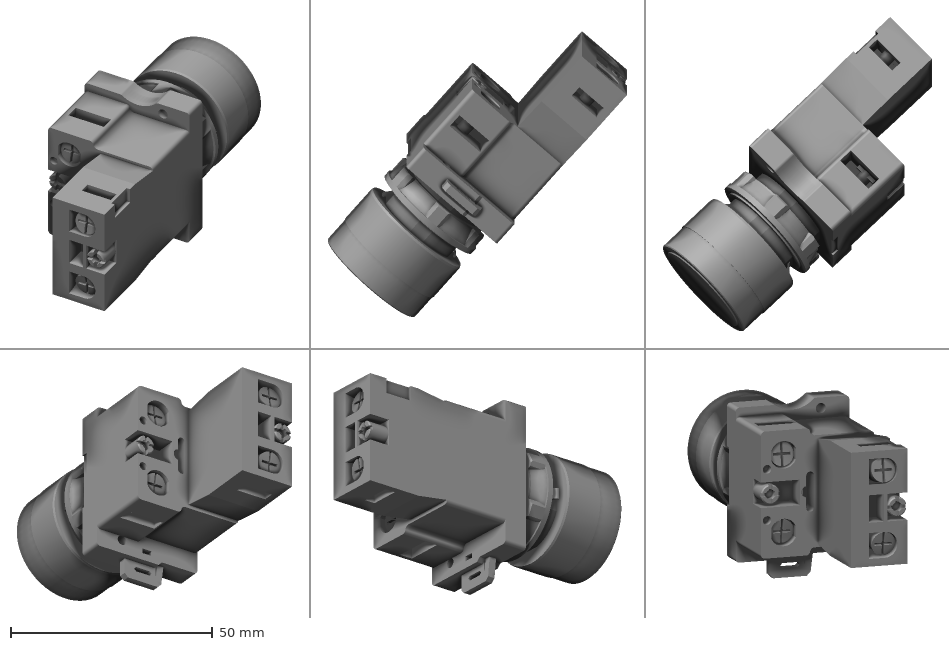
import cadquery as cq
import math


plate_half_width = 15.0
plate_thickness = 6.5
plate_top_left = 18.5
plate_top_right = 19.5
plate_bottom_left = -20.9
plate_bottom_right = -19.9
plate_corner_radius = 1.0
plate_step_x = (3.4, 4.4)
saddle_radius = 7.7
saddle_bottom = 17.0
saddle_blend = 0.9
saddle_margin = 0.1
plate_hole_diameter = 2.6
plate_holes = [(7.45, 16.8), (-7.5, -17.25)]
plate_window = (2.8, 1.3)
plate_window_z = -18.35
side_notch_depth = 0.5
side_notch_length = 1.75
side_notch_height = 14.9

tab_front_y = -2.6
tab_thickness = 2.0
tab_half_width = 5.45
tab_bottom = -26.0
tab_chamfer = 1.0
tab_top_right_x = 6.1
tab_top = -19.0
tab_slot = (5.05, 1.2)
tab_slot_corner = 0.5
tab_slot_z = -22.9
slit_left_x = 3.7
slit_right_x = 4.4
slit_bottom = -23.0

neck_radius = 11.0
neck_flat_x = 10.25
neck_flat_z = 10.8
head_start_y = 13.2
head_lip = 0.6
head_lip_radius = 14.5
head_radius = 14.7
head_joint_y = 23.5
cap_radius = 14.5
cap_end_y = 30.4
cap_chamfer = 0.25
button_radius = 12.5
button_end_y = 30.7
button_chamfer = 0.2
clip_width = 2.9
clip_embed = 0.5
clip_root_y = (10.2, 11.0)
clip_bend = (10.6, 10.7)
clip_tip = [(11.95, 12.1), (12.0, 12.6), (11.6, 12.75)]

nut_start_y = 2.85
nut_end_y = 8.85
nut_rim_y = 3.3
nut_flange_y = 7.4
nut_flange_radius = 14.5
nut_floor_radius_flange = 13.9
nut_floor_radius_start = 12.6
nut_rib_count = 6
rib_top_half_width = 1.55
rib_root_half_width = 2.5
rib_outer_radius = nut_flange_radius
rib_shoulder_radius = 13.4
rib_root_radius = 10.5
rib_chamfer = 0.4
washer_radius = 12.65
washer_thickness = 0.5

base_front_y = -24.8
base_half_height = 16.15
base_right_half_height = 14.25
base_shoulder_x = (-3.0, -2.0, -0.8)
base_corner_radius = 1.1

block_left_x = 0.1
block_front_y = -48.9
block_ramp_end_y = -33.7
block_rear_half_height = 13.3
block_half_height = 14.65
block_notch = (1.0, -43.8, -36.2)
block_notch_depth = 4.0

screw_tilt = math.radians(10)
screw_head_diameter = 6.2
screw_head_length = 4.5
shank_diameter = 3.5
shank_length = 7.0
screw_slot_width = 0.7
screw_slot_length = 4.7
screw_slot_depth = 1.2
base_screw_x = -8.95
base_screw_z = 9.87
base_screw_recess = 1.4
base_pocket_diameter = 7.0
base_pocket_width = 6.4
base_pocket_depth = 2.6
block_screw_x = 9.1
block_screw_z = 9.4
block_screw_recess = 1.2
block_pocket_radius = 3.25
block_pocket_left_x = 4.85
block_pocket_depth = 7.0
clamp_plate_width = 5.7
clamp_plate_height = 1.0
clamp_plate_thickness = 1.0

base_window_x = (-13.1, -3.0)
base_window_y = (-17.85, -14.2)
base_window_floor_z = 6.0
block_window_x = (4.8, 13.1)
block_window_y = (-42.6, -39.7)
block_window_floor_z = 5.0

fixing_diameter = 5.0
fixing_bore = 2.5
fixing_slot_width = 1.0
fixing_slot_depth = 1.0
fixing_bore_depth = 2.0
fixing_chamfer = 0.3
base_fixing_x = -12.4
base_bay_x = (-plate_half_width, -4.65)
base_bay_height = 6.5
base_bay_depth = 5.85
block_fixing_x = 12.35
block_bay_x = (9.7, plate_half_width)
block_bay_height = 7.0
block_bay_depth = 5.85
block_middle_pocket_x = (4.85, 8.8)

long_slot_x = -2.0
long_slot = (10.2, 2.0)
long_slot_depth = 5.0
round_pocket_depth = 2.5
round_pocket_x = -2.77
round_pocket_diameter = 3.0
pin_hole_diameter = 2.2
pin_holes = [(-13.35, 6.5), (-13.35, -6.5)]
pin_hole_depth = 2.0


def box_between(x, y, z):
    """Box spanning the given (low, high) ranges."""
    size = (x[1] - x[0], y[1] - y[0], z[1] - z[0])
    return cq.Workplane("XY").box(*size, centered=False).translate((x[0], y[0], z[0]))


def facing_front(y):
    """Sketch plane at the given y: local x is X, local y is Z, extrusion goes to -Y."""
    return cq.Workplane("XZ", origin=(0, y, 0))


def turned(profile):
    """Solid of revolution about Y from (radius, y) points."""
    return cq.Workplane("XY").polyline(profile).close().revolve(360, (0, 0, 0), (0, 1, 0))


def tilted_plane(x, y, z):
    """Plane of a terminal screw head, leaning away from the middle of the block."""
    normal = (0, -math.cos(screw_tilt), math.copysign(math.sin(screw_tilt), z))
    return cq.Plane(origin=(x, y, z), xDir=(1, 0, 0), normal=normal)


def mounting_plate():
    step_start, step_end = plate_step_x
    outline = [
        (-plate_half_width, plate_bottom_left),
        (step_start, plate_bottom_left),
        (step_end, plate_bottom_right),
        (plate_half_width, plate_bottom_right),
        (plate_half_width, plate_top_right),
        (0, plate_top_right),
        (0, plate_top_left),
        (-plate_half_width, plate_top_left),
    ]
    plate = facing_front(0).polyline(outline).close().extrude(plate_thickness)
    saddle_z = saddle_bottom + saddle_radius
    saddle = facing_front(0).center(0, saddle_z).circle(saddle_radius).extrude(plate_thickness)
    plate = plate.edges("|Y and (<X or >X)").fillet(plate_corner_radius).cut(saddle)
    saddle_edges = cq.selectors.BoxSelector(
        (-saddle_radius, -plate_thickness, plate_top_left - saddle_margin),
        (saddle_radius, 0, plate_top_right + saddle_margin),
    )
    plate = plate.edges("|Y").edges(saddle_edges).fillet(saddle_blend)
    notch = box_between(
        (-plate_half_width, side_notch_depth - plate_half_width),
        (-side_notch_length, 0),
        (-side_notch_height / 2, side_notch_height / 2),
    )
    return plate.cut(notch)


def plate_openings():
    holes = facing_front(0).pushPoints(plate_holes).circle(plate_hole_diameter / 2)
    window = facing_front(0).center(0, plate_window_z).rect(*plate_window)
    return holes.extrude(plate_thickness).union(window.extrude(plate_thickness))


def release_tab():
    outline = [
        (-tab_half_width, tab_top),
        (-tab_half_width, tab_bottom + tab_chamfer),
        (-tab_half_width + tab_chamfer, tab_bottom),
        (tab_half_width - tab_chamfer, tab_bottom),
        (tab_half_width, tab_bottom + tab_chamfer),
        (tab_top_right_x, plate_bottom_right),
        (tab_top_right_x, tab_top),
    ]
    tab = facing_front(tab_front_y).polyline(outline).close().extrude(tab_thickness)
    slot = facing_front(tab_front_y).center(0, tab_slot_z).rect(*tab_slot).extrude(tab_thickness)
    slit_outline = [
        (slit_left_x, plate_bottom_right),
        (slit_left_x, slit_bottom),
        ((slit_left_x + slit_right_x) / 2, slit_bottom),
        (slit_right_x, plate_bottom_right),
    ]
    slit = facing_front(tab_front_y).polyline(slit_outline).close().extrude(tab_thickness)
    return tab.cut(slot.edges("|Y").chamfer(tab_slot_corner)).cut(slit)


def button_head():
    neck = facing_front(head_start_y).circle(neck_radius).extrude(head_start_y)
    flats = facing_front(head_start_y).rect(2 * neck_flat_x, 2 * neck_flat_z).extrude(head_start_y)
    head = turned([
        (0, head_start_y),
        (head_lip_radius, head_start_y),
        (head_radius, head_start_y + head_lip),
        (head_radius, head_joint_y),
        (cap_radius, head_joint_y),
        (cap_radius, cap_end_y - cap_chamfer),
        (cap_radius - cap_chamfer, cap_end_y),
        (button_radius, cap_end_y),
        (button_radius - button_chamfer, button_end_y),
        (0, button_end_y),
    ])
    return neck.intersect(flats).union(head)


def spring_clips():
    """Two small bent leaves on the flats of the neck."""
    root_low, root_high = clip_root_y
    inner_x = neck_flat_x - clip_embed
    profile = [(inner_x, root_low), (neck_flat_x, root_low), clip_bend]
    profile += clip_tip
    profile += [(neck_flat_x, root_high), (inner_x, root_high)]
    leaf = cq.Workplane("XY").polyline(profile).close().extrude(clip_width / 2, both=True)
    return leaf.union(leaf.mirror("YZ"))


def fixing_nut():
    nut = turned([
        (0, nut_start_y),
        (nut_floor_radius_start, nut_start_y),
        (nut_floor_radius_start, nut_rim_y),
        (nut_floor_radius_flange, nut_flange_y),
        (nut_flange_radius, nut_flange_y),
        (nut_flange_radius, nut_end_y),
        (washer_radius, nut_end_y),
        (washer_radius, nut_end_y + washer_thickness),
        (0, nut_end_y + washer_thickness),
    ])
    rib_section = [
        (-rib_root_half_width, rib_root_radius),
        (-rib_root_half_width, rib_shoulder_radius),
        (-rib_top_half_width, rib_outer_radius),
        (rib_top_half_width, rib_outer_radius),
        (rib_root_half_width, rib_shoulder_radius),
        (rib_root_half_width, rib_root_radius),
    ]
    rib = facing_front(nut_flange_y).polyline(rib_section).close().extrude(nut_flange_y - nut_start_y)
    rib = rib.edges("<Y and >Z").chamfer(rib_chamfer)
    for i in range(nut_rib_count):
        nut = nut.union(rib.rotate((0, 0, 0), (0, 1, 0), i * 360 / nut_rib_count))
    return nut


def base_block():
    """Block with rounded left and right corners and an S-shaped drop to the lower right part."""
    start_x, bend_x, end_x = base_shoulder_x
    drop = base_half_height - base_right_half_height
    bend_z = base_half_height - drop * (bend_x - start_x) / (end_x - start_x)
    outline = (
        facing_front(-plate_thickness)
        .moveTo(-plate_half_width, base_half_height)
        .lineTo(start_x, base_half_height)
        .tangentArcPoint((bend_x, bend_z), relative=False)
        .tangentArcPoint((end_x, base_right_half_height), relative=False)
        .lineTo(plate_half_width, base_right_half_height)
        .lineTo(plate_half_width, -base_right_half_height)
        .lineTo(end_x, -base_right_half_height)
        .tangentArcPoint((bend_x, -bend_z), relative=False)
        .tangentArcPoint((start_x, -base_half_height), relative=False)
        .lineTo(-plate_half_width, -base_half_height)
        .close()
    )
    block = outline.extrude(-plate_thickness - base_front_y)
    return block.edges("|Y and (<X or >X)").fillet(base_corner_radius)


def contact_block():
    upper_half = [
        (base_front_y, block_rear_half_height),
        (block_ramp_end_y, block_half_height),
        (block_front_y, block_half_height),
    ]
    lower_half = [(y, -z) for y, z in reversed(upper_half)]
    profile = cq.Workplane("YZ", origin=(block_left_x, 0, 0)).polyline(upper_half + lower_half).close()
    block = profile.extrude(plate_half_width - block_left_x)
    notch_width, notch_front_y, notch_rear_y = block_notch
    notch = box_between(
        (plate_half_width - notch_width, plate_half_width),
        (notch_front_y, notch_rear_y),
        (block_half_height - block_notch_depth, block_half_height),
    )
    return block.cut(notch)


def wire_windows(x, y, floor_z, top_z):
    """Matching openings in the upper and lower side of a block."""
    upper = box_between(x, y, (floor_z, top_z))
    return upper.union(upper.mirror("XY"))


def base_screw_pocket(z):
    pocket = facing_front(base_front_y).center(base_screw_x, z)
    pocket = pocket.circle(base_pocket_diameter / 2).extrude(-base_pocket_depth)
    sides = facing_front(base_front_y).center(base_screw_x, z)
    sides = sides.rect(base_pocket_width, base_pocket_diameter).extrude(-base_pocket_depth)
    return pocket.intersect(sides)


def block_screw_pocket(z):
    """Tilted pocket, square on its inner side and round on its outer side."""
    plane = tilted_plane(block_screw_x, block_front_y, z)
    left = block_pocket_left_x - block_screw_x
    outline = (
        cq.Workplane(plane)
        .moveTo(left, -block_pocket_radius)
        .lineTo(0, -block_pocket_radius)
        .threePointArc((block_pocket_radius, 0), (0, block_pocket_radius))
        .lineTo(left, block_pocket_radius)
        .close()
    )
    return outline.extrude(block_pocket_depth, both=True)


def terminal_screw(x, y, z):
    """Tilted cross-slotted screw whose head face is centred at (x, y, z)."""
    plane = tilted_plane(x, y, z)
    head = cq.Workplane(plane).circle(screw_head_diameter / 2).extrude(-screw_head_length)
    shank = cq.Workplane(plane).workplane(offset=-screw_head_length)
    shank = shank.circle(shank_diameter / 2).extrude(-shank_length)
    long_cut = cq.Workplane(plane).rect(screw_slot_width, screw_head_diameter).extrude(-screw_slot_depth)
    short_cut = cq.Workplane(plane).rect(screw_slot_length, screw_slot_width).extrude(-screw_slot_depth)
    return head.union(shank).cut(long_cut).cut(short_cut)


def clamp_plate(z):
    """Plate under a base screw head, at the front of the wire window."""
    front = base_window_y[0]
    plate = facing_front(front + clamp_plate_thickness).center(base_screw_x, z)
    return plate.rect(clamp_plate_width, clamp_plate_height).extrude(clamp_plate_thickness)


def fixing_screw(x, front_y, length):
    """Round screw with a centre bore and a crossed slot in its front end."""
    screw = facing_front(front_y + length).center(x, 0).circle(fixing_diameter / 2).extrude(length)
    screw = screw.faces("<Y").chamfer(fixing_chamfer)
    front = facing_front(front_y).center(x, 0)
    bore = front.circle(fixing_bore / 2).extrude(-fixing_bore_depth)
    wide_cut = front.rect(fixing_diameter, fixing_slot_width).extrude(-fixing_slot_depth)
    tall_cut = front.rect(fixing_slot_width, fixing_diameter).extrude(-fixing_slot_depth)
    return screw.cut(bore).cut(wide_cut).cut(tall_cut)


def front_bay(x, front_y, depth, height):
    return box_between(x, (front_y, front_y + depth), (-height / 2, height / 2))


def base_small_openings():
    front = facing_front(base_front_y)
    slot = front.center(long_slot_x, 0).slot2D(*long_slot, angle=90).extrude(-long_slot_depth)
    pocket = front.center(round_pocket_x, 0).circle(round_pocket_diameter / 2).extrude(-round_pocket_depth)
    pins = front.pushPoints(pin_holes).circle(pin_hole_diameter / 2).extrude(-pin_hole_depth)
    return slot.union(pocket).union(pins)


def finished_base():
    base = base_block().cut(front_bay(base_bay_x, base_front_y, base_bay_depth, base_bay_height))
    base = base.cut(base_small_openings())
    base = base.cut(wire_windows(base_window_x, base_window_y, base_window_floor_z, base_half_height))
    for z in (base_screw_z, -base_screw_z):
        base = base.cut(base_screw_pocket(z)).union(clamp_plate(z))
        base = base.union(terminal_screw(base_screw_x, base_front_y + base_screw_recess, z))
    return base.union(fixing_screw(base_fixing_x, base_front_y, base_bay_depth))


def finished_contact_block():
    block = contact_block()
    for bay_x in (block_bay_x, block_middle_pocket_x):
        block = block.cut(front_bay(bay_x, block_front_y, block_bay_depth, block_bay_height))
    block = block.cut(
        wire_windows(block_window_x, block_window_y, block_window_floor_z, block_half_height)
    )
    for z in (block_screw_z, -block_screw_z):
        block = block.cut(block_screw_pocket(z))
        block = block.union(terminal_screw(block_screw_x, block_front_y + block_screw_recess, z))
    return block.union(fixing_screw(block_fixing_x, block_front_y, block_bay_depth))


result = mounting_plate().union(release_tab())
result = result.union(button_head()).union(spring_clips()).union(fixing_nut())
result = result.union(finished_base()).union(finished_contact_block())
result = result.cut(plate_openings())